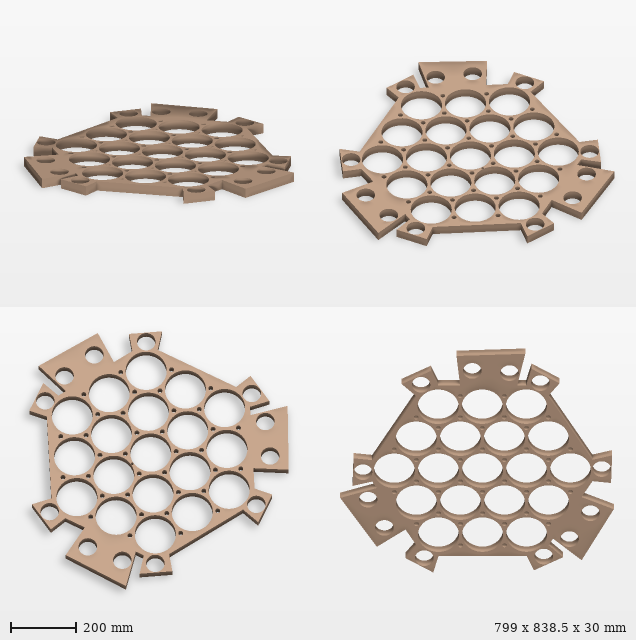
import cadquery as cq
import math

THICKNESS = 30.0
PITCH = 135.0
RINGS = 2
OPENING_DIAMETER = 126.0
SMALL_HOLE_DIAMETER = 15.0
PIN_HOLE_DIAMETER = 8.0
MOUNT_HOLE_DIAMETER = 57.0
MOUNT_CIRCLE_RADIUS = 366.0

CORNER_HOLE_ANGLE = -0.8
WIDE_HOLE_ANGLES = (-4.75, 13.25)

SIDES = 6
SECTORS = 3
SIDE_STEP = 360.0 / SIDES
SECTOR_STEP = 360.0 / SECTORS
CORNER_OFFSET = SIDE_STEP / 2
TRIANGLE_RADIUS = PITCH / math.sqrt(3)
ROW_SPACING = PITCH * math.sqrt(3) / 2
BODY_APOTHEM = 4 * TRIANGLE_RADIUS
CORNER_CUT_RADIUS = 2.5 * PITCH
CORNER_CUT_HALF_WIDTH = TRIANGLE_RADIUS / 2

CORNER_TAB_RIGHT = (397.85, -55.0)
CORNER_TAB_LEFT = (394.5, 45.9)

WIDE_TAB_ROOT_LOW = -67.8
WIDE_TAB_ROOT_HIGH = 107.5
WIDE_TAB_LOW = (419.45, -78.55)
WIDE_TAB_HIGH = (427.0, 132.35)


def rotated(point, degrees):
    """Turn a point around the plate centre."""
    angle = math.radians(degrees)
    x, y = point
    return (
        x * math.cos(angle) - y * math.sin(angle),
        x * math.sin(angle) + y * math.cos(angle),
    )


def on_mount_circle(degrees):
    return rotated((MOUNT_CIRCLE_RADIUS, 0), degrees)


def corner_tab(degrees):
    """Outline of the flared tab standing on one cut-off corner."""
    points = [
        (CORNER_CUT_RADIUS, -CORNER_CUT_HALF_WIDTH),
        CORNER_TAB_RIGHT,
        CORNER_TAB_LEFT,
        (CORNER_CUT_RADIUS, CORNER_CUT_HALF_WIDTH),
    ]
    return [rotated(point, degrees) for point in points]


def wide_tab(degrees):
    """Outline of the two-hole tab standing on one flat side."""
    points = [
        (BODY_APOTHEM, WIDE_TAB_ROOT_LOW),
        WIDE_TAB_LOW,
        WIDE_TAB_HIGH,
        (BODY_APOTHEM, WIDE_TAB_ROOT_HIGH),
    ]
    return [rotated(point, degrees) for point in points]


def outline():
    """Counter-clockwise outline: per sector one wide tab and two corner tabs."""
    points = []
    for sector in range(SECTORS):
        start = sector * SECTOR_STEP
        points += wide_tab(start)
        points += corner_tab(start + CORNER_OFFSET)
        points += corner_tab(start + CORNER_OFFSET + SIDE_STEP)
    return points


def opening_centers():
    """Hexagonal lattice of openings in columns parallel to Y."""
    centers = []
    for column in range(-RINGS, RINGS + 1):
        count = 2 * RINGS + 1 - abs(column)
        for row in range(count):
            centers.append((column * ROW_SPACING, (row - (count - 1) / 2) * PITCH))
    return centers


def small_hole_centers(openings):
    """Gaps that touch at least two openings."""
    reach = 1.1 * TRIANGLE_RADIUS
    centers = []
    for x, y in openings:
        for side in range(SIDES):
            dx, dy = rotated((TRIANGLE_RADIUS, 0), side * SIDE_STEP)
            gap = (x + dx, y + dy)
            touching = [center for center in openings if math.dist(center, gap) < reach]
            is_new = all(math.dist(known, gap) > TRIANGLE_RADIUS / 2 for known in centers)
            if len(touching) >= 2 and is_new:
                centers.append(gap)
    return centers


def mount_hole_centers():
    centers = []
    for side in range(SIDES):
        corner = side * SIDE_STEP + CORNER_OFFSET
        centers.append(on_mount_circle(corner + CORNER_HOLE_ANGLE))
    for sector in range(SECTORS):
        for angle in WIDE_HOLE_ANGLES:
            centers.append(on_mount_circle(sector * SECTOR_STEP + angle))
    return centers


def through_holes(centers, diameter):
    return cq.Workplane("XY").pushPoints(centers).circle(diameter / 2).extrude(THICKNESS)


openings = opening_centers()
pin_hole_centers = [(0, PITCH / 2)]

result = cq.Workplane("XY").polyline(outline()).close().extrude(THICKNESS)
result = result.cut(through_holes(openings, OPENING_DIAMETER))
result = result.cut(through_holes(small_hole_centers(openings), SMALL_HOLE_DIAMETER))
result = result.cut(through_holes(mount_hole_centers(), MOUNT_HOLE_DIAMETER))
result = result.cut(through_holes(pin_hole_centers, PIN_HOLE_DIAMETER))